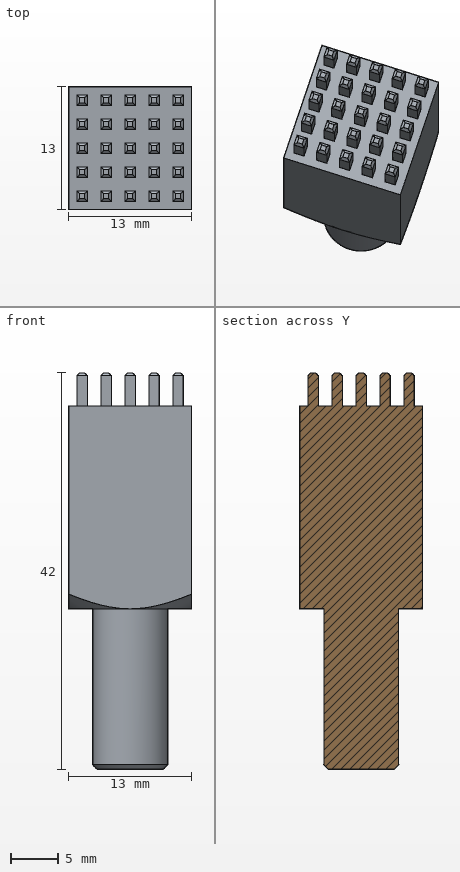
import cadquery as cq
import math

total_height = 42.0
body_width = 13.0

shank_length = 17.0
shank_diameter = 8.0
shank_chamfer = 0.5

pin_height = 3.5
pin_width = 1.15
pin_chamfer = 0.3
pin_row_length = 10.15
pins_per_side = 5
pin_pitch = pin_row_length / (pins_per_side - 1)

corner_slope_degrees = 30.0

body_top = total_height - pin_height
body_height = body_top - shank_length


def make_shank():
    """Cylinder standing on Z = 0 with a chamfered lower rim."""
    shank = cq.Workplane("XY").circle(shank_diameter / 2).extrude(shank_length)
    return shank.faces("<Z").edges().chamfer(shank_chamfer)


def make_body():
    """Square block whose lower corners are trimmed by a cone touching its four lower edges."""
    block = (
        cq.Workplane("XY", origin=(0, 0, shank_length))
        .rect(body_width, body_width)
        .extrude(body_height)
    )
    base_radius = body_width / 2
    outer_radius = body_width
    cone_rise = (outer_radius - base_radius) * math.tan(math.radians(corner_slope_degrees))
    envelope = (
        cq.Workplane("XZ")
        .moveTo(0, shank_length)
        .lineTo(base_radius, shank_length)
        .lineTo(outer_radius, shank_length + cone_rise)
        .lineTo(outer_radius, body_top)
        .lineTo(0, body_top)
        .close()
        .revolve(360, (0, 0, 0), (0, 1, 0))
    )
    return block.intersect(envelope)


def make_pins():
    """Square grid of pins with chamfered tips, standing on the body."""
    return (
        cq.Workplane("XY", origin=(0, 0, body_top))
        .rarray(pin_pitch, pin_pitch, pins_per_side, pins_per_side)
        .rect(pin_width, pin_width)
        .extrude(pin_height)
        .faces(">Z")
        .edges()
        .chamfer(pin_chamfer)
    )


result = make_shank().union(make_body()).union(make_pins())